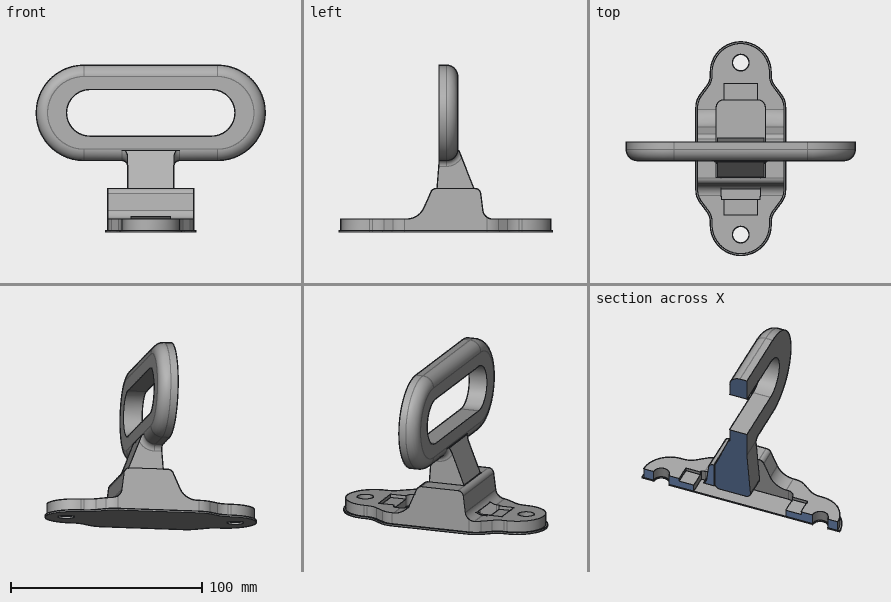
import cadquery as cq
import math

overall_length_y = 112.0
overall_height = 87.5

gasket_thickness = 1.0
gasket_margin = 1.0

foot_half_width = 22.5
foot_half_length = overall_length_y / 2 - gasket_margin
ear_radius = 15.0
wide_end_y = 25.0
ear_start_y = 35.0
outline_blend_radius = 10.0
foot_top = 7.0

block_top = 22.9
block_top_back_y = 7.0
block_top_front_y = -18.0
block_base_back_y = 14.0
block_base_front_y = -20.0
block_top_radius = 3.0
block_back_root_radius = 10.0
block_front_root_radius = 5.0

screw_hole_diameter = 8.5
screw_hole_y = 45.0

cavity_floor = gasket_thickness
slot_half_width = 12.8
slot_back_y = 25.5
slot_front_y = -15.1
tunnel_half_width = 10.3
tunnel_mouth_half_width = 10.0
tunnel_taper_y = -24.4
tunnel_mouth_y = -26.5
tunnel_ceiling = 8.2

recess_half_width = 8.9
slot_corner_radius = slot_half_width - recess_half_width
recess_depth = 1.8
back_recess_end_y = 34.2
front_recess_end_y = -34.8

grip_length = 120.0
grip_height = 50.0
grip_thickness = 10.0
grip_back_y = 3.6
grip_front_y = grip_back_y - grip_thickness
grip_edge_radius = 6.0
opening_length = 88.0
opening_height = 24.2
grip_centre_z = overall_height - grip_height / 2

stem_half_width = 12.1
stem_top = 42.7
stem_top_front_y = -7.0
stem_front_y = -14.8
stem_back_bend = 36.0
stem_bottom = foot_top
stem_bottom_back_y = 5.9
stem_bottom_radius = 3.0
stem_blend_radius = 3.0


def foot_outline():
    """Closed outline of the housing foot: a wide middle that narrows to a round ear at each end."""
    ear_centre_y = foot_half_length - ear_radius
    sharp = (
        cq.Workplane("XY")
        .moveTo(foot_half_width, -wide_end_y)
        .lineTo(foot_half_width, wide_end_y)
        .lineTo(ear_radius, ear_start_y)
        .lineTo(ear_radius, ear_centre_y)
        .threePointArc((0, foot_half_length), (-ear_radius, ear_centre_y))
        .lineTo(-ear_radius, ear_start_y)
        .lineTo(-foot_half_width, wide_end_y)
        .lineTo(-foot_half_width, -wide_end_y)
        .lineTo(-ear_radius, -ear_start_y)
        .lineTo(-ear_radius, -ear_centre_y)
        .threePointArc((0, -foot_half_length), (ear_radius, -ear_centre_y))
        .lineTo(ear_radius, -ear_start_y)
        .close()
        .wire()
        .val()
    )
    middle_of_ear_side = (ear_start_y + ear_centre_y) / 2
    corners = [corner for corner in sharp.Vertices() if abs(corner.Y) < middle_of_ear_side]
    return sharp.fillet2D(outline_blend_radius, corners)


def extrude_wire(wire, bottom, top):
    return cq.Workplane("XY").add(wire).toPending().extrude(top - bottom).translate((0, 0, bottom))


def box_between(half_width, y_start, y_end, bottom, top):
    """Box centred on X = 0."""
    return (
        cq.Workplane("XY", origin=(0, (y_start + y_end) / 2, bottom))
        .rect(2 * half_width, abs(y_end - y_start))
        .extrude(top - bottom)
    )


def screw_holes(height):
    return (
        cq.Workplane("XY")
        .pushPoints([(0, screw_hole_y), (0, -screw_hole_y)])
        .circle(screw_hole_diameter / 2)
        .extrude(height)
    )


def make_gasket():
    outline = foot_outline().offset2D(gasket_margin)[0]
    return extrude_wire(outline, 0, gasket_thickness).cut(screw_holes(gasket_thickness))


def housing_side_profile():
    """Side shape of the housing, run along the full width before the outline trims it."""
    profile = (
        cq.Workplane("YZ")
        .moveTo(-foot_half_length, gasket_thickness)
        .lineTo(foot_half_length, gasket_thickness)
        .lineTo(foot_half_length, foot_top)
        .lineTo(block_base_back_y, foot_top)
        .lineTo(block_top_back_y, block_top)
        .lineTo(block_top_front_y, block_top)
        .lineTo(block_base_front_y, foot_top)
        .lineTo(-foot_half_length, foot_top)
        .close()
        .extrude(foot_half_width, both=True)
    )

    def edge_at(y, z):
        return cq.selectors.NearestToPointSelector((0, y, z))

    profile = profile.edges(edge_at(block_base_back_y, foot_top)).fillet(block_back_root_radius)
    profile = profile.edges(edge_at(block_base_front_y, foot_top)).fillet(block_front_root_radius)
    profile = profile.edges(edge_at(block_top_back_y, block_top)).fillet(block_top_radius)
    return profile.edges(edge_at(block_top_front_y, block_top)).fillet(block_top_radius)


def housing_cavity():
    """Slot around the stem, low tunnel to the front, and a shallow recess beyond each end."""
    slot = box_between(slot_half_width, slot_front_y, slot_back_y, cavity_floor, block_top)
    slot = slot.edges("|Z and >Y").fillet(slot_corner_radius)

    tunnel = (
        cq.Workplane("XY", origin=(0, 0, cavity_floor))
        .moveTo(-tunnel_half_width, slot_front_y)
        .lineTo(-tunnel_half_width, tunnel_taper_y)
        .lineTo(-tunnel_mouth_half_width, tunnel_mouth_y)
        .lineTo(tunnel_mouth_half_width, tunnel_mouth_y)
        .lineTo(tunnel_half_width, tunnel_taper_y)
        .lineTo(tunnel_half_width, slot_front_y)
        .close()
        .extrude(tunnel_ceiling - cavity_floor)
    )

    recess_floor = foot_top - recess_depth
    back_recess = box_between(recess_half_width, slot_back_y, back_recess_end_y, recess_floor, foot_top)
    front_recess = box_between(recess_half_width, tunnel_mouth_y, front_recess_end_y, recess_floor, foot_top)
    return slot.union(tunnel).union(back_recess).union(front_recess)


def make_housing():
    housing = extrude_wire(foot_outline(), gasket_thickness, block_top)
    housing = housing.intersect(housing_side_profile())
    return housing.cut(housing_cavity()).cut(screw_holes(block_top))


def grip_slot(length, height):
    """Round-ended plate as thick as the grip."""
    return (
        cq.Workplane("XZ", origin=(0, grip_back_y, grip_centre_z))
        .slot2D(length, height)
        .extrude(grip_thickness)
    )


def make_grip():
    return grip_slot(grip_length, grip_height).faces("<Y").edges().fillet(grip_edge_radius)


def stem_prism(half_width):
    """Side shape of the stem, run along X."""
    return (
        cq.Workplane("YZ")
        .moveTo(stem_top_front_y, stem_top)
        .lineTo(stem_front_y, block_top)
        .lineTo(stem_front_y, stem_bottom)
        .lineTo(stem_bottom_back_y, stem_bottom)
        .lineTo(grip_back_y, stem_back_bend)
        .lineTo(grip_back_y, stem_top)
        .close()
        .extrude(half_width, both=True)
    )


def make_stem():
    return stem_prism(stem_half_width).faces("<Z").edges("|X").fillet(stem_bottom_radius)


def make_stem_blend():
    """Concave blend from the stem sides into the grip, following the grip's rounded edge."""
    flare_half_width = stem_half_width + stem_blend_radius
    edge_axis_y = grip_front_y + grip_edge_radius
    edge_axis_z = overall_height - grip_height + grip_edge_radius
    grip_underside = -grip_edge_radius
    blend_start = grip_underside - stem_blend_radius
    arc_offset = stem_blend_radius * (1 - math.sqrt(0.5))
    arc_middle_x = stem_half_width + arc_offset
    arc_middle_z = grip_underside - arc_offset

    def flare_section(y):
        return (
            cq.Workplane("XZ", origin=(0, y, edge_axis_z))
            .moveTo(-flare_half_width, 0)
            .lineTo(-flare_half_width, grip_underside)
            .threePointArc((-arc_middle_x, arc_middle_z), (-stem_half_width, blend_start))
            .lineTo(stem_half_width, blend_start)
            .threePointArc((arc_middle_x, arc_middle_z), (flare_half_width, grip_underside))
            .lineTo(flare_half_width, 0)
            .close()
        )

    straight_part = flare_section(grip_back_y).extrude(grip_back_y - edge_axis_y)
    round_part = flare_section(edge_axis_y).revolve(90, (0, 0, 0), (-1, 0, 0))
    return straight_part.union(round_part).intersect(stem_prism(flare_half_width))


def make_handle():
    solid_handle = make_grip().union(make_stem()).union(make_stem_blend())
    return solid_handle.cut(grip_slot(opening_length, opening_height))


gasket = make_gasket()
housing = make_housing()
handle = make_handle()

result = cq.Compound.makeCompound([gasket.val(), housing.val(), handle.val()])